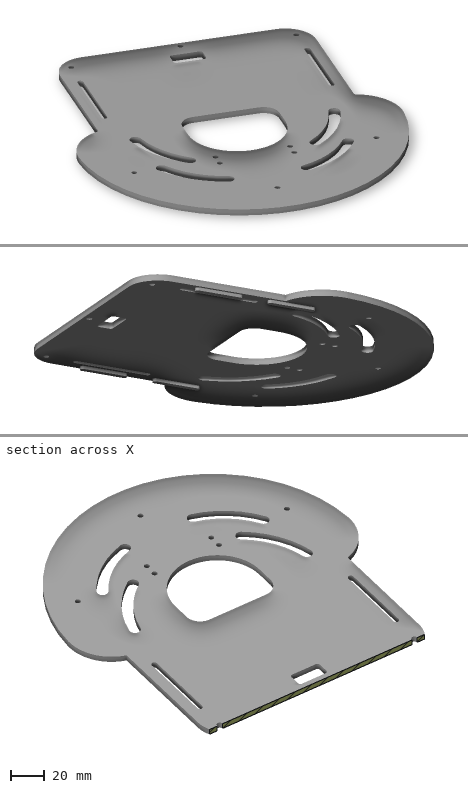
import cadquery as cq
import math

length = 219.0
head_diameter = 200.1
plate_thickness = 4.0
overall_height = 6.0
rib_height = overall_height - plate_thickness

head_radius = head_diameter / 2
tail_x = head_radius - length

tail_width = 157.9
tail_corner_radius = 19.0
shoulder_radius = 30.0
shoulder_center_x = 3.3

window_width = 59.8
window_left_x = -26.0
window_right_x = 25.0
window_corner_radius = 9.6

opening_length_x = 10.0
opening_width_y = 20.1
opening_corner_radius = 1.8
opening_x = tail_x + 18.8

side_slot_length = 50.8
side_slot_width = 3.5
side_slot_x = tail_x + 53.9
side_slot_y = 70.0

rib_length = 30.7
rib_width = 3.5
rib_y = 75.5
rib_centers_x = (tail_x + 51.2, tail_x + 99.0)

curved_slot_radius = 58.2
curved_slot_width = 7.0
curved_slot_sweep = 42.0
curved_slot_places = ((-20.5, 4.4, 36.0), (0.0, 8.0, 16.0))

hole_diameter = 3.5
middle_hole_places = ((tail_x + 4.0, 0), (tail_x + 194.0, 0))
paired_hole_places = (
    (tail_x + 10.5, 69.5),
    (tail_x + 145.8, 23.0),
    (tail_x + 154.0, 23.0),
    (tail_x + 150.5, 74.7),
)


def polar(radius, angle, center=(0, 0)):
    """Point at a radius and an angle in degrees about a centre."""
    turn = math.radians(angle)
    return (center[0] + radius * math.cos(turn), center[1] + radius * math.sin(turn))


def mirrored(point):
    """The same point on the -Y side."""
    return (point[0], -point[1])


def plate():
    """Round head blended into a rectangular tail by two shoulder arcs."""
    half_tail = tail_width / 2
    center_distance = head_radius - shoulder_radius
    joint_angle = math.degrees(math.acos(shoulder_center_x / center_distance))
    shoulder_center = polar(center_distance, joint_angle)
    joint = polar(head_radius, joint_angle)
    end_angle = 180 + math.degrees(math.asin((half_tail - shoulder_center[1]) / -shoulder_radius))
    shoulder_end = polar(shoulder_radius, end_angle, shoulder_center)
    shoulder_middle = polar(shoulder_radius, (joint_angle + end_angle) / 2, shoulder_center)
    outline = (
        cq.Workplane("XY")
        .moveTo(tail_x, -half_tail)
        .lineTo(*mirrored(shoulder_end))
        .threePointArc(mirrored(shoulder_middle), mirrored(joint))
        .threePointArc((head_radius, 0), joint)
        .threePointArc(shoulder_middle, shoulder_end)
        .lineTo(tail_x, half_tail)
        .close()
    )
    return outline.extrude(plate_thickness).edges("|Z and <X").fillet(tail_corner_radius)


def window():
    """D-shaped cutter: a half circle on +X and two rounded corners on -X."""
    half_width = window_width / 2
    arc_center_x = window_right_x - half_width
    return (
        cq.Workplane("XY")
        .moveTo(window_left_x, -half_width)
        .lineTo(arc_center_x, -half_width)
        .threePointArc((window_right_x, 0), (arc_center_x, half_width))
        .lineTo(window_left_x, half_width)
        .close()
        .extrude(plate_thickness)
        .edges("|Z and <X")
        .fillet(window_corner_radius)
    )


def opening():
    """Cutter for the rounded rectangle near the tail edge."""
    return (
        cq.Workplane("XY")
        .center(opening_x, 0)
        .rect(opening_length_x, opening_width_y)
        .extrude(plate_thickness)
        .edges("|Z")
        .fillet(opening_corner_radius)
    )


def side_slots():
    """Cutters for the two straight round-ended slots."""
    return (
        cq.Workplane("XY")
        .pushPoints([(side_slot_x, side_slot_y), (side_slot_x, -side_slot_y)])
        .slot2D(side_slot_length, side_slot_width)
        .extrude(plate_thickness)
    )


def cap_tip(center, angle, direction):
    """Tip of a round slot end; direction is +1 past the end angle and -1 before the start angle."""
    cap_center = polar(curved_slot_radius, angle, center)
    return polar(curved_slot_width / 2, angle + direction * 90, cap_center)


def curved_slot(center_x, center_y, start_angle):
    """Cutter for a round-ended slot that follows an arc."""
    center = (center_x, center_y)
    end_angle = start_angle + curved_slot_sweep
    middle_angle = start_angle + curved_slot_sweep / 2
    half_width = curved_slot_width / 2
    inner = curved_slot_radius - half_width
    outer = curved_slot_radius + half_width
    cap_start = cap_tip(center, start_angle, -1)
    cap_end = cap_tip(center, end_angle, 1)
    return (
        cq.Workplane("XY")
        .moveTo(*polar(inner, start_angle, center))
        .threePointArc(polar(inner, middle_angle, center), polar(inner, end_angle, center))
        .threePointArc(cap_end, polar(outer, end_angle, center))
        .threePointArc(polar(outer, middle_angle, center), polar(outer, start_angle, center))
        .threePointArc(cap_start, polar(inner, start_angle, center))
        .close()
        .extrude(plate_thickness)
    )


def round_holes():
    """Cutters for all the small through holes."""
    paired = list(paired_hole_places) + [mirrored(place) for place in paired_hole_places]
    return (
        cq.Workplane("XY")
        .pushPoints(list(middle_hole_places) + paired)
        .circle(hole_diameter / 2)
        .extrude(plate_thickness)
    )


def ribs():
    """Round-ended ribs hanging from the plate underside."""
    return (
        cq.Workplane("XY")
        .pushPoints([(x, y) for x in rib_centers_x for y in (rib_y, -rib_y)])
        .slot2D(rib_length, rib_width)
        .extrude(-rib_height)
    )


result = plate().cut(window()).cut(opening()).cut(side_slots()).cut(round_holes())
for place in curved_slot_places:
    slot = curved_slot(*place)
    result = result.cut(slot).cut(slot.mirror("XZ"))
result = result.union(ribs())